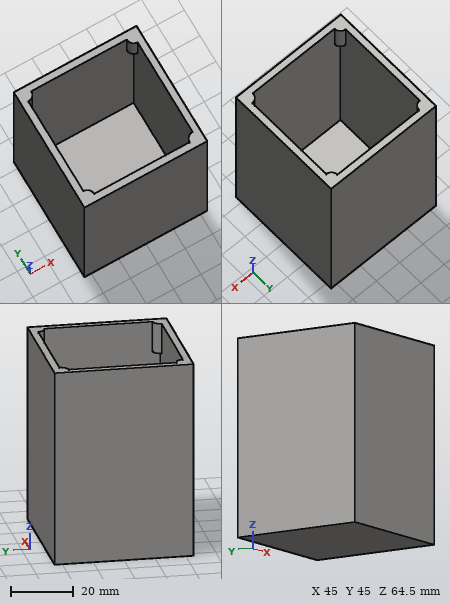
import cadquery as cq

side = 45.0
height = 64.5
wall = 2.5
floor_thickness = wall

post_radius = 2.5
post_length = 10.0

cavity_side = side - 2 * wall
cavity_depth = height - floor_thickness


def square_block(block_side, block_height, base_z):
    """Square block centred on the Z axis, standing at base_z."""
    return (
        cq.Workplane("XY", origin=(0, 0, base_z))
        .rect(block_side, block_side)
        .extrude(block_height)
    )


def corner_posts():
    """Round posts centred on the cavity corners, flush with the rim."""
    return (
        cq.Workplane("XY", origin=(0, 0, height - post_length))
        .rect(cavity_side, cavity_side, forConstruction=True)
        .vertices()
        .circle(post_radius)
        .extrude(post_length)
    )


hollow = square_block(cavity_side, cavity_depth, floor_thickness).cut(corner_posts())
result = square_block(side, height, 0).cut(hollow)